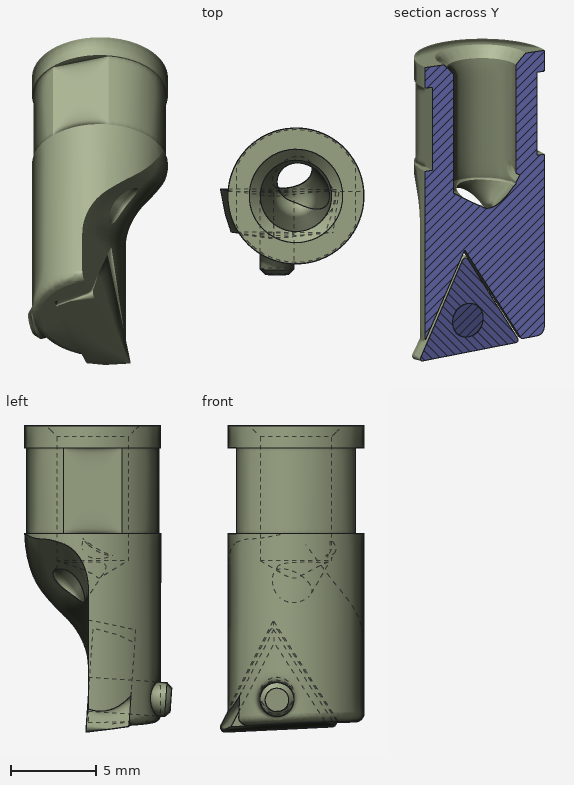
import cadquery as cq
import math

total_height = 18.01
head_diameter = 8.0
head_radius = head_diameter / 2
collar_height = 1.3
neck_height = 5.05
neck_diameter = 7.8
neck_across_flats = 7.0
shoulder_z = total_height - collar_height - neck_height

bore_diameter = 4.2
bore_depth = 7.92
drill_point_angle = 118.0
mouth_chamfer = 0.65

bottom_z = 0.45
bottom_slope_x = 2.6
bottom_slope_y = -2.0
rim_radius = 0.5

flat_y = 0.25
gullet_top_z = 11.83
sweep_angle = 30.0
ramp_angle = 60.0
shoulder_radius = 2.0
root_radius = 2.88

coolant_diameter = 2.5
coolant_y = 1.25
coolant_offset = 1.37
coolant_reach = 3.25

insert_side = 7.24
insert_thickness = 2.5
relief_angle = 11.0
nose_radius = 0.29
nose_end_radius = 0.02
insert_x = -1.12
insert_z = 2.23
insert_lean = 4.0
insert_roll = 2.8
corner_angles = (90.0, 210.0, 330.0)
corner_distance = insert_side / math.sqrt(3)

pocket_taper = 4.0
pocket_clearance = 0.07

pin_diameter = 2.0
pin_length = 4.86
pin_chamfer = 0.3

lean = math.radians(insert_lean)
insert_plane = cq.Plane(
    origin=(insert_x, flat_y, insert_z),
    xDir=(1, 0, 0),
    normal=(0, -math.cos(lean), -math.sin(lean)),
).rotated((0, 0, insert_roll))

sweep = math.radians(sweep_angle)
gullet_plane = cq.Plane(
    origin=(0, 0, gullet_top_z),
    xDir=(0, 1, 0),
    normal=(math.cos(sweep), 0, -math.sin(sweep)),
)
ramp = math.radians(ramp_angle)
ramp_top = (
    head_radius - shoulder_radius * (1 - math.cos(ramp)),
    -shoulder_radius * math.sin(ramp),
)
ramp_foot_y = flat_y + root_radius * (1 - math.cos(ramp))
ramp_foot = (ramp_foot_y, ramp_top[1] - (ramp_top[0] - ramp_foot_y) / math.tan(ramp))
root_end = (flat_y, ramp_foot[1] - root_radius * math.sin(ramp))


def make_lower_head():
    """Cylinder below the shoulder, ended by the sloped bottom with its rounded rim."""
    head = cq.Workplane("XY").workplane(offset=-head_radius).circle(head_radius)
    head = head.extrude(shoulder_z + head_radius)
    waste = cq.Workplane("XY").box(2 * head_diameter, 2 * head_diameter, head_diameter, (True, True, False))
    waste = waste.translate((0, 0, -head_diameter))
    waste = waste.rotate((0, 0, 0), (0, 1, 0), -bottom_slope_x)
    waste = waste.rotate((0, 0, 0), (1, 0, 0), bottom_slope_y)
    waste = waste.translate((0, 0, bottom_z))
    return head.cut(waste).faces("<Z").edges().fillet(rim_radius)


def make_neck_and_collar():
    """Neck with two flats facing -X and +X, under the round collar."""
    neck = cq.Workplane("XY").workplane(offset=shoulder_z).circle(neck_diameter / 2).extrude(neck_height)
    flats = cq.Workplane("XY").workplane(offset=shoulder_z)
    flats = flats.rect(neck_across_flats, head_diameter).extrude(neck_height)
    collar = cq.Workplane("XY").workplane(offset=total_height - collar_height)
    collar = collar.circle(head_radius).extrude(collar_height)
    return neck.intersect(flats).union(collar)


def make_bore():
    """Socket with a chamfered mouth and a drill-point bottom."""
    radius = bore_diameter / 2
    point_depth = radius / math.tan(math.radians(drill_point_angle / 2))
    wall_end = total_height - bore_depth
    return (
        cq.Workplane("XZ")
        .moveTo(0, total_height)
        .lineTo(radius + mouth_chamfer, total_height)
        .lineTo(radius, total_height - mouth_chamfer)
        .lineTo(radius, wall_end)
        .lineTo(0, wall_end - point_depth)
        .close()
        .revolve(360, (0, 0, 0), (0, 1, 0))
    )


def make_gullet():
    """Everything removed in front of the flat face and the S-shaped run-out above it."""
    half_turn = ramp / 2
    upper_mid = (
        head_radius - shoulder_radius * (1 - math.cos(half_turn)),
        -shoulder_radius * math.sin(half_turn),
    )
    root_mid = (
        flat_y + root_radius * (1 - math.cos(half_turn)),
        root_end[1] + root_radius * math.sin(half_turn),
    )
    return (
        cq.Workplane(gullet_plane)
        .moveTo(head_radius, 0)
        .threePointArc(upper_mid, ramp_top)
        .lineTo(*ramp_foot)
        .threePointArc(root_mid, root_end)
        .lineTo(flat_y, -total_height)
        .lineTo(head_diameter, -total_height)
        .lineTo(head_diameter, 0)
        .close()
        .extrude(total_height, both=True)
    )


def make_coolant_hole():
    """Cylinder square to the ramp, from the bore out through the gullet."""
    drop = ramp_top[1] - (ramp_top[0] - coolant_y) / math.tan(ramp)
    start = gullet_plane.toWorldCoords((coolant_y, drop, coolant_offset))
    across = gullet_plane.xDir * math.cos(ramp) - gullet_plane.yDir * math.sin(ramp)
    base = start - across * coolant_reach
    return cq.Workplane(cq.Solid.makeCylinder(coolant_diameter / 2, 2 * coolant_reach, base, across))


def make_nose_relief(corner_angle):
    """Material outside the conical nose at one insert corner, in the insert's frame."""
    nose_depth = (nose_radius - nose_end_radius) / math.tan(math.radians(relief_angle))
    outside = 3 * nose_radius
    wedge = (
        cq.Workplane("XZ")
        .moveTo(nose_radius / 2, 0)
        .lineTo(outside, 0)
        .lineTo(outside, nose_depth)
        .lineTo(nose_end_radius / 2, nose_depth)
        .close()
        .extrude(outside, both=True)
    )
    relief = wedge.cut(cq.Workplane(cq.Solid.makeCone(nose_radius, nose_end_radius, nose_depth)))
    relief = relief.translate((corner_distance - 2 * nose_radius, 0, 0))
    return relief.rotate((0, 0, 0), (0, 0, 1), corner_angle)


def tapered_triangle(reach, taper):
    """Sharp-cornered plate with its largest face at local z = 0, narrowing inward."""
    corners = [
        (
            reach * math.cos(math.radians(angle)),
            reach * math.sin(math.radians(angle)),
        )
        for angle in corner_angles
    ]
    return cq.Workplane("XY").polyline(corners).close().extrude(insert_thickness, taper=taper)


def make_insert():
    """Tapered plate with rounded noses and a hole for the pin."""
    plate = tapered_triangle(corner_distance, relief_angle)
    for angle in corner_angles:
        plate = plate.cut(make_nose_relief(angle))
    return plate.cut(make_pin())


def make_pin():
    """Pin flush with the cutting face, chamfered at the end that sticks out of the holder."""
    pin = cq.Workplane("XY").circle(pin_diameter / 2).extrude(pin_length)
    return pin.faces(">Z").chamfer(pin_chamfer)


def place(shape):
    """Move a shape from the insert's frame to its place in the part."""
    return cq.Workplane(shape.val().moved(cq.Location(insert_plane)))


def make_pocket():
    """Seat wider and less tapered than the insert, open to +Y where the insert lies behind the flat."""
    seat = tapered_triangle(corner_distance + 2 * pocket_clearance, pocket_taper)
    opening_depth = corner_distance * math.tan(lean)
    opening = cq.Solid.extrudeLinear(
        seat.faces("<Z").val().outerWire(), [], cq.Vector(0, 0, -opening_depth)
    )
    return seat.union(cq.Workplane(opening))


pin = place(make_pin())
insert = place(make_insert())

holder = (
    make_lower_head()
    .cut(make_gullet())
    .union(make_neck_and_collar())
    .cut(make_bore())
    .cut(make_coolant_hole())
    .cut(place(make_pocket()))
    .cut(pin)
)

result = cq.Compound.makeCompound([holder.val(), insert.val(), pin.val()])